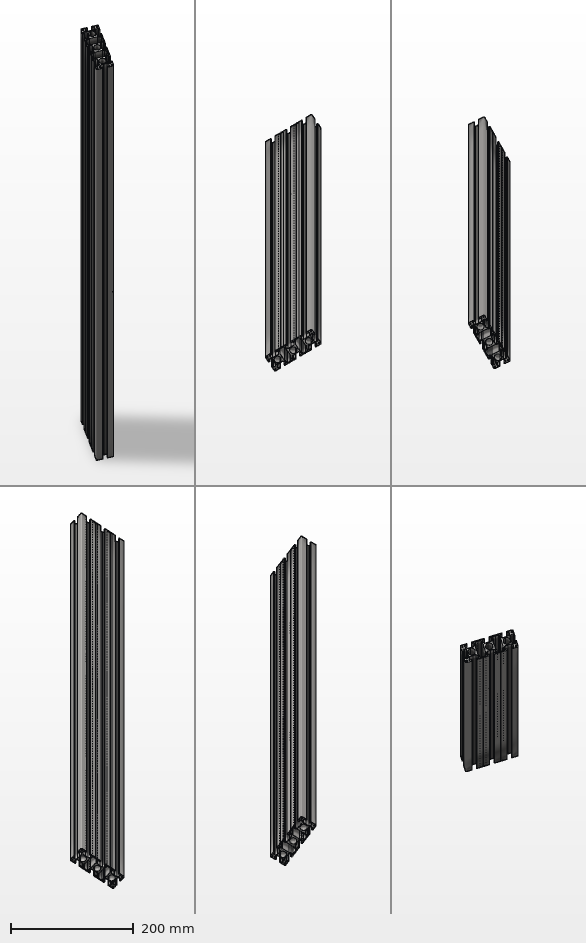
import cadquery as cq

length = 1000.0
cell_size = 30.0
cell_count = 3
width = cell_count * cell_size
depth = cell_size
corner_radius = 1.8

slot_opening = 8.0
mouth_chamfer = 0.3
lip_thickness = 2.3
slot_inner_width = 15.8
slot_side_depth = 5.4
slot_floor_width = 11.0
slot_depth = 8.0
floor_groove_width = 0.4

face_groove_width = 1.1

core_bore_diameter = 11.5
corner_bore_diameter = 2.0
corner_bore_inset = 3.0
cavity_half_width = 6.5
cavity_neck_half_width = 5.1
cavity_side_half_height = 6.8
cavity_neck_start = 9.4
cavity_wall = 1.6
cavity_half_height = depth / 2 - cavity_wall


def mirrored_prism(right_side):
    """Full-length prism whose outline is right_side and its mirror image across the Y axis."""
    left_side = [(-x, y) for x, y in reversed(right_side) if x > 0]
    return cq.Workplane("XY").polyline(right_side + left_side).close().extrude(length)


def round_hole(diameter, x, y):
    return cq.Workplane("XY").center(x, y).circle(diameter / 2).extrude(length)


def turned(cutter, angle):
    return cutter.rotate((0, 0, 0), (0, 0, 1), angle)


def on_long_faces(cutter, x):
    """Copies of a cutter that opens at y = 0, set on both long faces at x."""
    return [
        cutter.translate((x, depth / 2, 0)),
        turned(cutter, 180).translate((x, -depth / 2, 0)),
    ]


def on_end_faces(cutter):
    """Copies of the same cutter set mid-way on both narrow faces."""
    return [
        turned(cutter, -90).translate((width / 2, 0, 0)),
        turned(cutter, 90).translate((-width / 2, 0, 0)),
    ]


def t_slot():
    """Chamfered mouth, undercut, sloping sides and a 90 degree groove in the floor."""
    return mirrored_prism([
        (slot_opening / 2 + mouth_chamfer, 0),
        (slot_opening / 2, -mouth_chamfer),
        (slot_opening / 2, -lip_thickness),
        (slot_inner_width / 2, -lip_thickness),
        (slot_inner_width / 2, -slot_side_depth),
        (slot_floor_width / 2, -slot_depth),
        (floor_groove_width / 2, -slot_depth),
        (0, -slot_depth - floor_groove_width / 2),
    ])


def face_groove():
    """90 degree V-groove."""
    return mirrored_prism([(face_groove_width / 2, 0), (0, -face_groove_width / 2)])


def cavity():
    """Hollow between two cells, narrower where the slot undercuts come close."""
    upper_right = [
        (cavity_neck_half_width, cavity_half_height),
        (cavity_neck_half_width, cavity_neck_start),
        (cavity_half_width, cavity_side_half_height),
    ]
    lower_right = [(x, -y) for x, y in reversed(upper_right)]
    return mirrored_prism(upper_right + lower_right)


cell_centers = [(i - (cell_count - 1) / 2) * cell_size for i in range(cell_count)]
cell_borders = [x + cell_size / 2 for x in cell_centers[:-1]]

cutters = on_end_faces(t_slot())

for x in cell_centers:
    cutters += on_long_faces(t_slot(), x)
    cutters.append(round_hole(core_bore_diameter, x, 0))

for x in cell_borders:
    cutters += on_long_faces(face_groove(), x)
    cutters.append(cavity().translate((x, 0, 0)))

corner_x = width / 2 - corner_bore_inset
corner_y = depth / 2 - corner_bore_inset
for x in (-corner_x, corner_x):
    for y in (-corner_y, corner_y):
        cutters.append(round_hole(corner_bore_diameter, x, y))

bar = cq.Workplane("XY").rect(width, depth).extrude(length).edges("|Z").fillet(corner_radius)
profile = bar.val().cut(*[cutter.val() for cutter in cutters])
result = cq.Workplane("XY").newObject(profile.Solids())